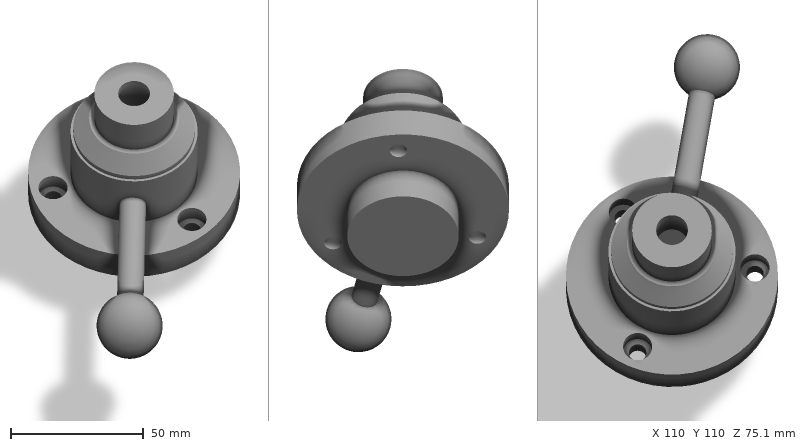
import cadquery as cq
import math

spigot_diameter = 42.0
spigot_height = 14.0
flange_diameter = 80.0
flange_height = 13.0
bolt_count = 3
bolt_circle_radius = 31.5
bolt_hole_diameter = 6.6
counterbore_diameter = 11.0
counterbore_depth = 6.4

drum_diameter = 48.0
drum_height = 25.0
lever_angle = -45.0
lever_height_above_flange = 10.0
rod_diameter = 10.0
ball_diameter = 25.0
ball_offset = 57.5

rim_diameter = 46.0
rim_height = 2.0
shoulder_height = 6.0
stub_diameter = 30.0
stub_height = 15.1
stub_hole_diameter = 12.0
stub_hole_depth = stub_height

flange_top = spigot_height + flange_height
drum_top = flange_top + drum_height
lever_level = flange_top + lever_height_above_flange


def make_base():
    """Spigot and flange with counterbored bolt holes."""
    spigot = cq.Workplane("XY").circle(spigot_diameter / 2).extrude(spigot_height)
    flange = (
        cq.Workplane("XY", origin=(0, 0, spigot_height))
        .circle(flange_diameter / 2)
        .extrude(flange_height)
    )
    return (
        spigot.union(flange)
        .faces(">Z")
        .workplane(origin=(0, 0, flange_top))
        .polarArray(bolt_circle_radius, 0, 360, bolt_count)
        .cboreHole(bolt_hole_diameter, counterbore_diameter, counterbore_depth)
    )


def make_collar():
    """Drum with a radial lever rod ending in a ball."""
    ball_distance = math.hypot(ball_offset, ball_offset)
    drum = (
        cq.Workplane("XY", origin=(0, 0, flange_top))
        .circle(drum_diameter / 2)
        .extrude(drum_height)
    )
    rod = (
        cq.Workplane("YZ", origin=(0, 0, lever_level))
        .circle(rod_diameter / 2)
        .extrude(ball_distance)
    )
    ball = cq.Workplane("XY", origin=(ball_distance, 0, lever_level)).sphere(ball_diameter / 2)
    lever = rod.union(ball).rotate((0, 0, 0), (0, 0, 1), lever_angle)
    return drum.union(lever)


def make_cap():
    """Rim and 45-degree shoulder below a stub with a blind axial hole."""
    shoulder = (
        cq.Workplane("XY", origin=(0, 0, drum_top))
        .circle(rim_diameter / 2)
        .extrude(rim_height + shoulder_height)
        .faces(">Z")
        .chamfer(shoulder_height)
    )
    return (
        shoulder.faces(">Z")
        .workplane(origin=(0, 0, 0))
        .circle(stub_diameter / 2)
        .extrude(stub_height)
        .faces(">Z")
        .workplane(origin=(0, 0, 0))
        .hole(stub_hole_diameter, stub_hole_depth)
    )


base = make_base()
collar = make_collar()
cap = make_cap()

result = cq.Compound.makeCompound([base.val(), collar.val(), cap.val()])